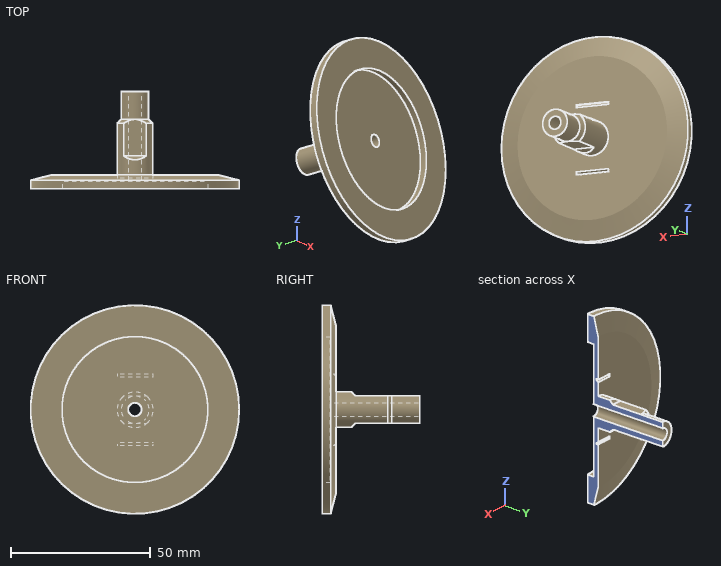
import cadquery as cq

flange_diameter = 75.0
flange_thickness = 5.0
rim_width = 3.1
back_face_diameter = 60.0

recess_diameter = 52.4
recess_depth = 2.8

total_length = 35.0
stem_diameter = 12.8
tip_diameter = 9.9
tip_length = 10.05
shoulder_chamfer = (stem_diameter - tip_diameter) / 2
bore_diameter = 4.7

across_flats = 10.0
flat_start = 11.85

front_y = -total_length / 2
back_y = front_y + flange_thickness
tip_y = front_y + total_length
shoulder_y = tip_y - tip_length


def revolved_body():
    """Flange, stem and tip as one solid of revolution about Y."""
    profile = (
        cq.Workplane("XY")
        .moveTo(0, front_y)
        .lineTo(flange_diameter / 2, front_y)
        .lineTo(flange_diameter / 2, front_y + rim_width)
        .lineTo(back_face_diameter / 2, back_y)
        .lineTo(stem_diameter / 2, back_y)
        .lineTo(stem_diameter / 2, shoulder_y - shoulder_chamfer)
        .lineTo(tip_diameter / 2, shoulder_y)
        .lineTo(tip_diameter / 2, tip_y)
        .lineTo(0, tip_y)
        .close()
    )
    return profile.revolve(360, (0, 0, 0), (0, 1, 0))


def cylinder_from_front(diameter, length):
    """Cylinder along Y that starts at the open face."""
    return (
        cq.Workplane("XZ", origin=(0, front_y, 0))
        .circle(diameter / 2)
        .extrude(-length)
    )


def flat_cutter(side):
    """Block that removes the stem beyond one flat; side is +1 or -1 along Z."""
    flat_z = across_flats / 2
    outer_z = stem_diameter
    start_y = front_y + flat_start
    return (
        cq.Workplane("YZ")
        .moveTo(start_y, side * flat_z)
        .lineTo(shoulder_y, side * flat_z)
        .lineTo(shoulder_y, side * outer_z)
        .lineTo(start_y - (outer_z - flat_z), side * outer_z)
        .close()
        .extrude(stem_diameter / 2, both=True)
    )


result = revolved_body()
result = result.cut(cylinder_from_front(recess_diameter, recess_depth))
result = result.cut(cylinder_from_front(bore_diameter, total_length))
for side in (1, -1):
    result = result.cut(flat_cutter(side))